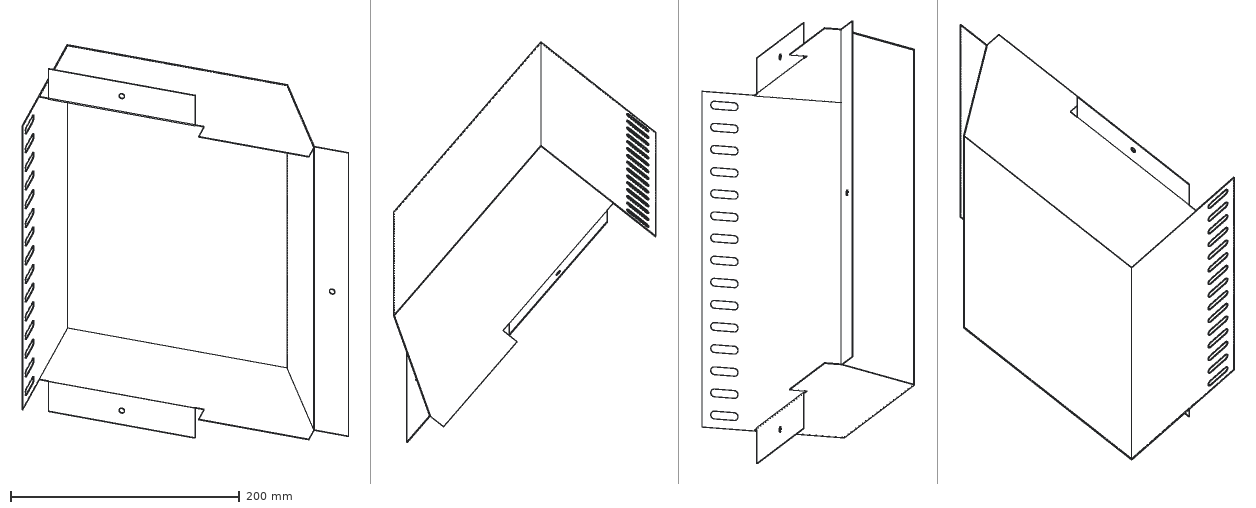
import cadquery as cq
import math

sheet = 0.8
total_width = 285.36
total_depth = 131.0
total_height = 366.6
body_depth = 83.7

back_width = 203.0
flange_width = 31.5
tab_projection = 31.6
body_height = total_height - 2 * tab_projection

slot_count = 15
slot_pitch = 20.0
slot_length = 25.0
slot_width = 7.0
slot_front_gap = 8.0

lip_start = 152.5
lip_end = total_width - flange_width
lip_depth = 99.0
tab_start = 9.3
tab_width = 135.0

hole_diameter = 5.0
hole_edge_gap = 15.0

flange_front = -body_depth
flange_back = flange_front + sheet

slope_run = lip_end - back_width
slope_angle = math.atan2(-flange_back, slope_run)
corner_shift = sheet * math.tan(slope_angle / 2)
inner_corner = back_width - corner_shift
inner_foot = lip_end - corner_shift


def mounting_hole(x, z):
    return (
        cq.Workplane("XZ", origin=(x, flange_back, z))
        .circle(hole_diameter / 2)
        .extrude(sheet)
    )


def make_folded_wall():
    outline = [
        (0, 0),
        (back_width, 0),
        (lip_end, flange_back),
        (total_width, flange_back),
        (total_width, flange_front),
        (inner_foot, flange_front),
        (inner_corner, -sheet),
        (sheet, -sheet),
        (sheet, -total_depth),
        (0, -total_depth),
    ]
    wall = cq.Workplane("XY").polyline(outline).close().extrude(body_height / 2, both=True)
    slots = (
        cq.Workplane("YZ")
        .center(-total_depth + slot_front_gap + slot_length / 2, 0)
        .rarray(1, slot_pitch, 1, slot_count)
        .slot2D(slot_length, slot_width)
        .extrude(sheet)
    )
    flange_hole = mounting_hole(total_width - hole_edge_gap, 0)
    return wall.cut(slots).cut(flange_hole)


def make_top_plate():
    plate_bottom = body_height / 2 - sheet
    outline = [
        (sheet, -sheet),
        (inner_corner, -sheet),
        (inner_foot, flange_front),
        (lip_end, flange_front),
        (lip_end, -lip_depth),
        (lip_start, -lip_depth),
        (lip_start, flange_back),
        (sheet, flange_back),
    ]
    plate = cq.Workplane("XY", origin=(0, 0, plate_bottom)).polyline(outline).close().extrude(sheet)
    tab = (
        cq.Workplane("XY", origin=(tab_start, flange_front, plate_bottom))
        .box(tab_width, sheet, sheet + tab_projection, centered=False)
    )
    tab_hole = mounting_hole(tab_start + tab_width / 2, total_height / 2 - hole_edge_gap)
    return plate.union(tab).cut(tab_hole)


top_plate = make_top_plate()
bottom_plate = top_plate.mirror("XY")
housing = make_folded_wall().union(top_plate).union(bottom_plate)

result = cq.Compound.makeCompound([*housing.solids().vals()])